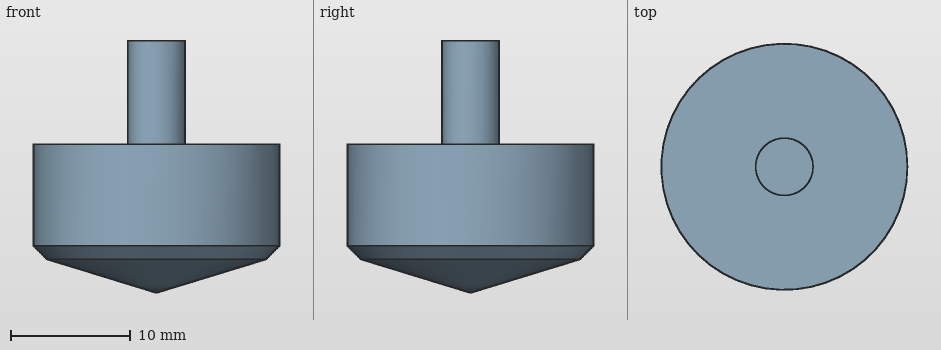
import cadquery as cq

BODY_DIAMETER = 20.6
STEM_DIAMETER = 4.8
TOTAL_HEIGHT = 21.1
STEM_LENGTH = 8.65
CHAMFER = 1.15
CONE_HEIGHT = 2.8

body_radius = BODY_DIAMETER / 2
stem_radius = STEM_DIAMETER / 2
cone_radius = body_radius - CHAMFER
body_bottom = CONE_HEIGHT + CHAMFER
body_top = TOTAL_HEIGHT - STEM_LENGTH


def half_profile():
    """Closed half section in the XZ plane, from the cone tip up to the stem end."""
    return (
        cq.Workplane("XZ")
        .moveTo(0, 0)
        .lineTo(cone_radius, CONE_HEIGHT)
        .lineTo(body_radius, body_bottom)
        .lineTo(body_radius, body_top)
        .lineTo(stem_radius, body_top)
        .lineTo(stem_radius, TOTAL_HEIGHT)
        .lineTo(0, TOTAL_HEIGHT)
        .close()
    )


result = half_profile().revolve(360, (0, 0, 0), (0, 1, 0))